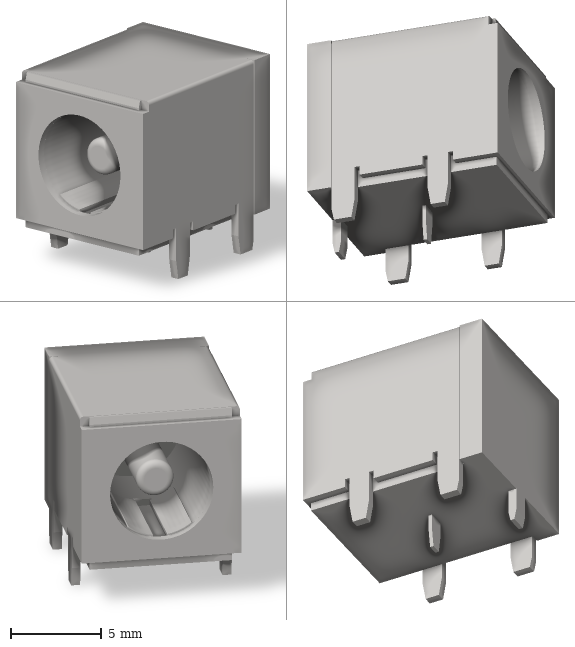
import cadquery as cq
import math


width = 9.0
length = 11.25
height = 11.0
half_width = width / 2
front_y = -length / 2
rear_y = length / 2
bore_z = 6.5
clearance = 0.05

side_thickness = 0.5
top_thickness = 0.3
front_thickness = 0.5
front_top_z = 10.43
shell_bottom_z = 2.5
shell_corner_radius = 0.2
front_wall_rear_y = front_y + front_thickness
top_sheet_front_y = front_wall_rear_y + clearance
shell_rear_y = 4.17
mouth_diameter = 5.8
notch_width = 0.29
notch_top_z = 3.02

core_half_width = half_width - side_thickness
core_top_z = height - top_thickness
housing_bottom_z = 2.0
rear_block_y = shell_rear_y + clearance
bore_end_y = shell_rear_y
tongue_setback = 0.25
tongue_front_y = front_y + tongue_setback
lip_slope_inset = 0.1
lip_slope_height = 0.4

sleeve_outer_radius = 6.2 / 2
sleeve_inner_radius = 2.81
sleeve_half_angle = 39.0
sleeve_slot_width = 0.8
sleeve_leg_front_y = 0.11
sleeve_leg_thickness = 0.21
sleeve_leg_rear_y = sleeve_leg_front_y + sleeve_leg_thickness
sleeve_leg_top_z = 3.79

pin_diameter = 2.1
pin_tip_y = -3.87
pin_tip_radius = 0.38
tail_thickness = 0.5
tail_front_y = rear_y - tail_thickness
tail_top_z = bore_z + pin_diameter / 2

leg_width = 1.0
long_tip = (0.19, 1.1)
short_tip = (0.12, 0.6)
rear_leg_front_y = 2.82
front_leg_rear_y = -1.47
front_leg_front_y = -2.69


def centred_block(half_x, y_min, y_max, z_min, z_max):
    """Box between the given limits, symmetric about X = 0."""
    block = cq.Workplane("XY").box(2 * half_x, y_max - y_min, z_max - z_min, centered=False)
    return block.translate((-half_x, y_min, z_min))


def rod(diameter, y_min, y_max):
    """Cylinder on the bore axis."""
    plane = cq.Plane(origin=(0, y_min, bore_z), xDir=(1, 0, 0), normal=(0, 1, 0))
    return cq.Workplane(plane).circle(diameter / 2).extrude(y_max - y_min)


def leg_outline(plane, low, high, top_z, low_tip, high_tip):
    """Closed leg outline; the low and high sides each taper to their own tip."""
    low_inset, low_taper = low_tip
    high_inset, high_taper = high_tip
    points = [
        (low + low_inset, 0),
        (high - high_inset, 0),
        (high, high_taper),
        (high, top_z),
        (low, top_z),
        (low, low_taper),
    ]
    return cq.Workplane(plane).polyline(points).close()


def make_shell():
    shell = centred_block(half_width, front_y, shell_rear_y, shell_bottom_z, height)
    shell = shell.edges("|Y and >Z").fillet(shell_corner_radius)
    hollow = centred_block(core_half_width, front_wall_rear_y, shell_rear_y, shell_bottom_z, core_top_z)
    shell = shell.cut(hollow)
    shell = shell.cut(centred_block(half_width, front_y, top_sheet_front_y, front_top_z, height))
    shell = shell.cut(rod(mouth_diameter, front_y, front_wall_rear_y))

    for notch_front_y in (rear_leg_front_y - notch_width, front_leg_rear_y, front_leg_front_y - notch_width):
        notch_rear_y = notch_front_y + notch_width
        shell = shell.cut(centred_block(half_width, notch_front_y, notch_rear_y, shell_bottom_z, notch_top_z))

    rear_leg = leg_outline("YZ", rear_leg_front_y, shell_rear_y, notch_top_z, long_tip, short_tip)
    front_leg = leg_outline("YZ", front_leg_front_y, front_leg_rear_y, notch_top_z, long_tip, long_tip)
    for leg in (rear_leg.extrude(side_thickness), front_leg.extrude(side_thickness)):
        for wall_x in (-half_width, core_half_width):
            shell = shell.union(leg.translate((wall_x, 0, 0)))
    return shell


def make_sleeve_contact():
    """Curved plate under the bore, split along the middle up to its solder leg."""
    half_angle = math.radians(sleeve_half_angle)

    def arc_point(radius, angle):
        return (radius * math.sin(angle), bore_z - radius * math.cos(angle))

    plate = (
        cq.Workplane("XZ", origin=(0, front_wall_rear_y, 0))
        .moveTo(*arc_point(sleeve_inner_radius, -half_angle))
        .threePointArc(arc_point(sleeve_inner_radius, 0), arc_point(sleeve_inner_radius, half_angle))
        .lineTo(*arc_point(sleeve_outer_radius, half_angle))
        .threePointArc(arc_point(sleeve_outer_radius, 0), arc_point(sleeve_outer_radius, -half_angle))
        .close()
        .extrude(front_wall_rear_y - sleeve_leg_rear_y)
    )
    slot = centred_block(sleeve_slot_width / 2, front_wall_rear_y, sleeve_leg_front_y, 0, sleeve_leg_top_z)
    leg = leg_outline("XZ", -leg_width / 2, leg_width / 2, sleeve_leg_top_z, long_tip, long_tip)
    leg = leg.extrude(-sleeve_leg_thickness).translate((0, sleeve_leg_front_y, 0))
    return plate.cut(slot).union(leg)


def make_centre_pin():
    pin = rod(pin_diameter, pin_tip_y, tail_front_y)
    pin = pin.faces("<Y").edges().fillet(pin_tip_radius)
    tail = leg_outline("YZ", tail_front_y, rear_y, tail_top_z, short_tip, short_tip)
    return pin.union(tail.extrude(leg_width / 2, both=True))


def make_lip():
    """Lip ahead of the shell's top sheet, with a sloped front, just clear of the front wall."""
    lip_bottom_z = front_top_z + clearance
    points = [
        (front_wall_rear_y, lip_bottom_z),
        (front_wall_rear_y, height),
        (tongue_front_y + lip_slope_inset, height),
        (tongue_front_y, height - lip_slope_height),
        (tongue_front_y, lip_bottom_z),
    ]
    return cq.Workplane("YZ").polyline(points).close().extrude(core_half_width, both=True)


def make_sleeve_recess():
    """Part of the outer sleeve cylinder that lies below the ends of the curved plate."""
    half_angle = math.radians(sleeve_half_angle)
    reach = sleeve_outer_radius / math.cos(half_angle)
    sector = (
        cq.Workplane("XZ", origin=(0, front_wall_rear_y, 0))
        .moveTo(0, bore_z)
        .lineTo(-reach * math.sin(half_angle), bore_z - sleeve_outer_radius)
        .lineTo(reach * math.sin(half_angle), bore_z - sleeve_outer_radius)
        .close()
        .extrude(front_wall_rear_y - sleeve_leg_rear_y)
    )
    return sector.intersect(rod(2 * sleeve_outer_radius, front_wall_rear_y, sleeve_leg_rear_y))


def make_housing():
    housing = centred_block(core_half_width, front_wall_rear_y, shell_rear_y, housing_bottom_z, core_top_z)
    rear_step = centred_block(core_half_width, shell_rear_y, rear_block_y, housing_bottom_z, height)
    rear_block = centred_block(half_width, rear_block_y, rear_y, housing_bottom_z, height)
    housing = housing.union(rear_step).union(rear_block)
    tongue = centred_block(
        core_half_width, tongue_front_y, front_wall_rear_y, housing_bottom_z, shell_bottom_z
    )
    housing = housing.union(tongue).union(make_lip())

    housing = housing.cut(rod(mouth_diameter, front_wall_rear_y, bore_end_y))
    housing = housing.cut(make_sleeve_recess())
    leg_passage = centred_block(
        leg_width / 2, sleeve_leg_front_y, sleeve_leg_rear_y, housing_bottom_z, sleeve_leg_top_z
    )
    housing = housing.cut(leg_passage)

    housing = housing.cut(rod(pin_diameter, bore_end_y, tail_front_y))
    return housing.cut(centred_block(leg_width / 2, tail_front_y, rear_y, housing_bottom_z, tail_top_z))


shell = make_shell()
housing = make_housing()
sleeve_contact = make_sleeve_contact()
centre_pin = make_centre_pin()

result = cq.Compound.makeCompound(
    [shell.val(), housing.val(), sleeve_contact.val(), centre_pin.val()]
)